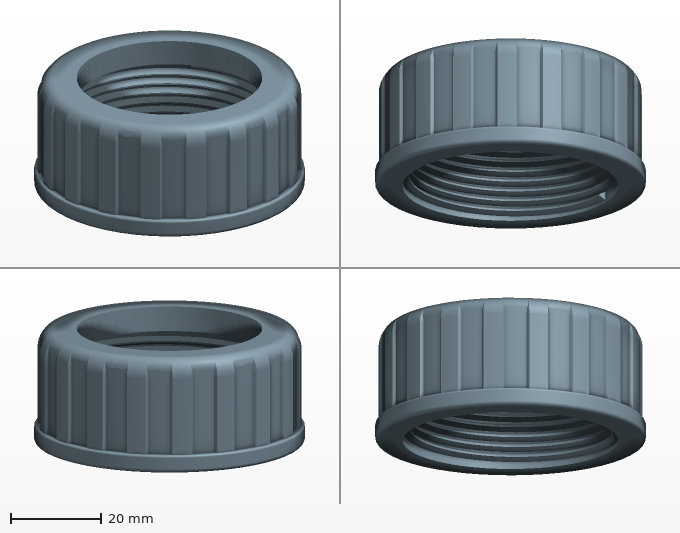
import cadquery as cq
import math

height = 25.6
body_radius = 28.55
top_fillet = 2.65

flange_radius = 30.0
flange_height = 4.0
flange_bottom_fillet = 0.9
flange_top_fillet = 0.55

lip_radius = 41.1 / 2
socket_depth = 20.05
thread_root_radius = 47.8 / 2
thread_crest_radius = 44.8 / 2

sleeve_radius = 25.8

thread_pitch = 2.3
thread_turns = 7.6
thread_start_height = 1.6
thread_start_angle = -90
crest_width = thread_pitch / 6
ridge_base_width = thread_pitch - crest_width
ridge_embed = 0.2

rib_count = 18
rib_radius = 29.2
rib_shoulder_height = 21.4
rib_shoulder_radius = 4.8
rib_outer_width = 4.25
rib_base_width = 5.15
rib_root_radius = 27.85


def make_body():
    body = cq.Workplane("XY").circle(body_radius).extrude(height)
    return body.faces(">Z").edges().fillet(top_fillet)


def make_flange():
    flange = cq.Workplane("XY").circle(flange_radius).extrude(flange_height)
    flange = flange.faces("<Z").edges().fillet(flange_bottom_fillet)
    return flange.faces(">Z").edges().fillet(flange_top_fillet)


def make_rib_envelope():
    """Revolved ring whose outside is the rib face with its rounded shoulder."""
    arc_center_radius = rib_radius - rib_shoulder_radius
    root_offset = rib_root_radius - arc_center_radius
    end_angle = math.acos(root_offset / rib_shoulder_radius)
    end_height = rib_shoulder_height + rib_shoulder_radius * math.sin(end_angle)
    arc_middle = (
        arc_center_radius + rib_shoulder_radius * math.cos(end_angle / 2),
        rib_shoulder_height + rib_shoulder_radius * math.sin(end_angle / 2),
    )
    base_height = flange_height / 2
    return (
        cq.Workplane("XZ")
        .moveTo(rib_root_radius, base_height)
        .lineTo(rib_radius, base_height)
        .lineTo(rib_radius, rib_shoulder_height)
        .threePointArc(arc_middle, (rib_root_radius, end_height))
        .close()
        .revolve(360, (0, 0), (0, 1))
    )


def make_rib():
    """One rib on the +Y side: a slice of the envelope with its two long edges bevelled."""
    half_slab = cq.Workplane("XY").rect(rib_base_width / 2, flange_radius, centered=False).extrude(height)
    half_rib = make_rib_envelope().intersect(half_slab)
    bevel_width = (rib_base_width - rib_outer_width) / 2
    bevel_depth = rib_radius - body_radius
    half_rib = half_rib.edges("|Z").edges(">X").edges(">Y").chamfer(bevel_depth, bevel_width)
    return half_rib.union(half_rib.mirror("YZ"))


def make_ribs():
    """All grip ribs, evenly spaced around the axis."""
    rib = make_rib()
    ribs = cq.Workplane("XY")
    for index in range(rib_count):
        ribs = ribs.add(rib.rotate((0, 0, 0), (0, 0, 1), index * 360 / rib_count))
    return ribs


def make_thread_ridge():
    """Trapezoidal ridge swept along a helix, its base sunk into the socket wall."""
    path = cq.Wire.makeHelix(thread_pitch, thread_turns * thread_pitch, thread_root_radius)
    flank_slope = (ridge_base_width - crest_width) / (thread_root_radius - thread_crest_radius)
    embedded_radius = thread_root_radius + ridge_embed
    embedded_width = ridge_base_width + flank_slope * ridge_embed
    ridge = (
        cq.Workplane("XZ")
        .polyline([
            (embedded_radius, -embedded_width / 2),
            (thread_crest_radius, -crest_width / 2),
            (thread_crest_radius, crest_width / 2),
            (embedded_radius, embedded_width / 2),
        ])
        .close()
        .sweep(cq.Workplane(path), isFrenet=True)
    )
    ridge = ridge.rotate((0, 0, 0), (0, 0, 1), thread_start_angle)
    return ridge.translate((0, 0, thread_start_height))


def make_shell():
    """Ribbed outside of the nut with its lip, hollowed out to take the sleeve."""
    outside = make_body().union(make_flange()).union(make_ribs())
    sleeve_space = cq.Workplane("XY").circle(sleeve_radius).extrude(socket_depth)
    lip_hole = cq.Workplane("XY").circle(lip_radius).extrude(height)
    return outside.cut(sleeve_space).cut(lip_hole)


def make_threaded_sleeve():
    """Plain tube carrying the thread, fitting the shell exactly."""
    tube = cq.Workplane("XY").circle(sleeve_radius).circle(thread_root_radius).extrude(socket_depth)
    return tube.union(make_thread_ridge())


result = make_shell().union(make_threaded_sleeve(), glue=True)